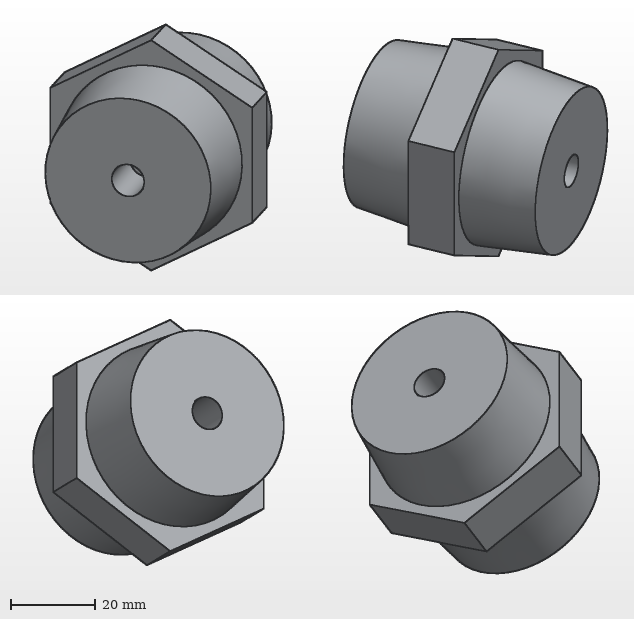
import cadquery as cq
import math

hex_sides = 6
half_side_angle = 180 / hex_sides
across_flats = 50.0
across_corners = across_flats / math.cos(math.radians(half_side_angle))
collar_width = 12.0

total_length = 50.0
root_radius = 22.5
end_radius = 20.5
half_collar = collar_width / 2
half_length = total_length / 2

hole_diameter = 8.0
hole_depth = 15.0


def collar():
    """Hexagon with flats facing +X and -X, centred on the origin."""
    return (
        cq.Workplane("XZ")
        .transformed(rotate=(0, 0, half_side_angle))
        .polygon(hex_sides, across_corners)
        .extrude(half_collar, both=True)
    )


def barrel():
    """Straight-tapered body from the mid plane to the +Y end."""
    return (
        cq.Workplane("YZ")
        .lineTo(0, root_radius)
        .lineTo(half_collar, root_radius)
        .lineTo(half_length, end_radius)
        .lineTo(half_length, 0)
        .close()
        .revolve(360, (0, 0, 0), (1, 0, 0))
    )


def end_hole():
    """Cutter for the hole in the +Y end face."""
    return (
        cq.Workplane("XZ", origin=(0, half_length, 0))
        .circle(hole_diameter / 2)
        .extrude(hole_depth)
    )


def both_ends(shape):
    """Shape joined with its mirror image across the collar mid plane."""
    return shape.union(shape.mirror("XZ"))


result = collar().union(both_ends(barrel())).cut(both_ends(end_hole()))